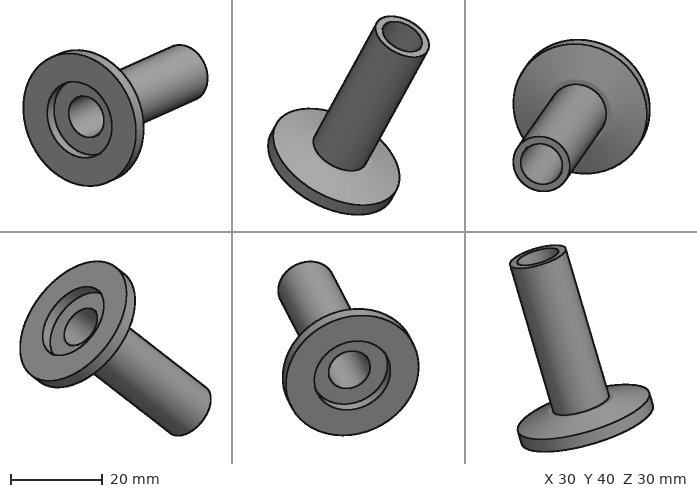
import cadquery as cq
import math

total_length = 40.0
flange_diameter = 30.0
rim_thickness = 3.0
hub_thickness = 5.0
cone_angle = 15.0
tube_diameter = 12.7
bore_diameter = 9.35
recess_diameter = 17.2
recess_depth = 2.6

flange_radius = flange_diameter / 2
cone_height = hub_thickness - rim_thickness
hub_radius = flange_radius - cone_height / math.tan(math.radians(cone_angle))

half_section = [
    (0, 0),
    (flange_radius, 0),
    (flange_radius, rim_thickness),
    (hub_radius, hub_thickness),
    (tube_diameter / 2, hub_thickness),
    (tube_diameter / 2, total_length),
    (0, total_length),
]
body = cq.Workplane("XY").polyline(half_section).close().revolve(360, (0, 0), (0, 1))


def axial_hole(diameter, depth):
    """Cylinder that cuts from the flange face along +Y."""
    return cq.Workplane("XZ").circle(diameter / 2).extrude(-depth)


bore = axial_hole(bore_diameter, total_length)
recess = axial_hole(recess_diameter, recess_depth)

result = body.cut(bore).cut(recess).translate((0, -total_length / 2, 0))